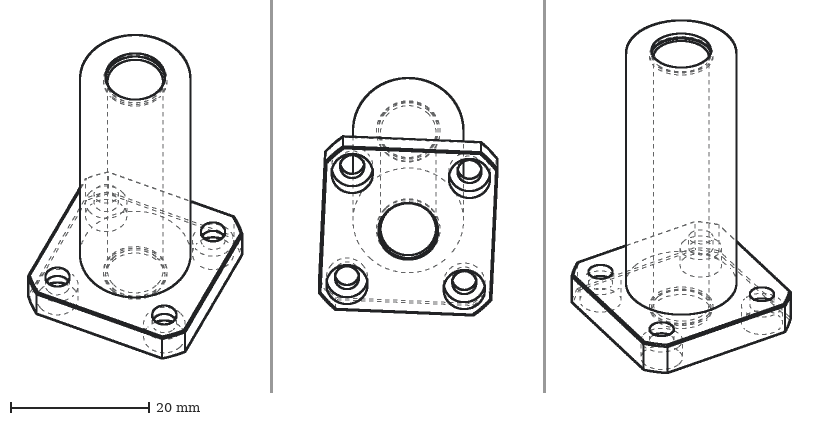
import cadquery as cq

total_height = 46.0
sleeve_diameter = 16.0
sleeve_edge_radius = 0.5

bore_diameter = 8.0
end_recess_diameter = 8.6
end_recess_depth = 1.1
groove_diameter = 9.2
groove_width = 0.35

flange_side = 25.0
flange_corner_diameter = 31.95
flange_thickness = 5.0
flange_edge_chamfer = 0.25

hole_count = 4
hole_diameter = 3.5
counterbore_diameter = 6.0
counterbore_depth = 3.1
hole_circle_radius = 12.0


def cylinder(diameter, height, base_z=0.0):
    """Upright cylinder on the Z axis."""
    return cq.Workplane("XY").workplane(offset=base_z).circle(diameter / 2).extrude(height)


def make_flange():
    square = cq.Workplane("XY").rect(flange_side, flange_side).extrude(flange_thickness)
    square = square.rotate((0, 0, 0), (0, 0, 1), 45)
    flange = square.intersect(cylinder(flange_corner_diameter, flange_thickness))
    return flange.faces("<Z or >Z").chamfer(flange_edge_chamfer)


def make_sleeve():
    return cylinder(sleeve_diameter, total_height).faces(">Z").edges().fillet(sleeve_edge_radius)


def make_bore():
    bore = cylinder(bore_diameter, total_height)
    for recess_base in (0.0, total_height - end_recess_depth):
        bore = bore.union(cylinder(end_recess_diameter, end_recess_depth, recess_base))
    lower_groove_base = end_recess_depth - groove_width
    upper_groove_base = total_height - end_recess_depth
    for groove_base in (lower_groove_base, upper_groove_base):
        bore = bore.union(cylinder(groove_diameter, groove_width, groove_base))
    return bore


def make_mounting_holes():
    hole = cylinder(hole_diameter, flange_thickness)
    hole = hole.union(cylinder(counterbore_diameter, counterbore_depth))
    hole = hole.translate((hole_circle_radius, 0, 0))
    holes = hole
    for index in range(1, hole_count):
        holes = holes.union(hole.rotate((0, 0, 0), (0, 0, 1), index * 360 / hole_count))
    return holes


result = make_flange().union(make_sleeve()).cut(make_bore()).cut(make_mounting_holes())